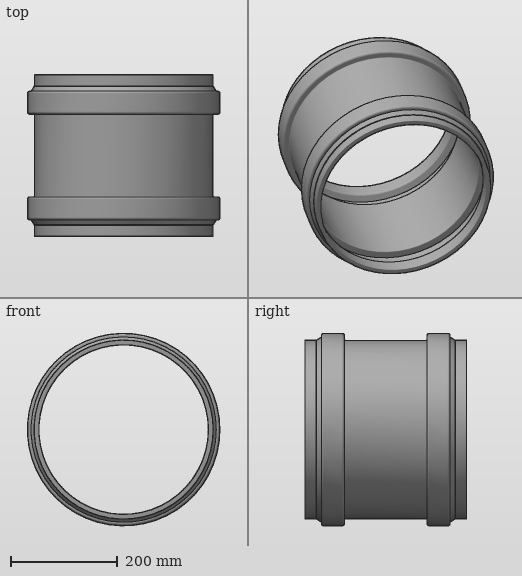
import cadquery as cq

length = 303.0
half_length = length / 2
wall = 8.8

socket_outer_radius = 335.1 / 2
socket_bore_radius = socket_outer_radius - wall
barrel_outer_radius = 334.7 / 2
barrel_bore_radius = barrel_outer_radius - wall
bead_outer_radius = 360.8 / 2
groove_radius = bead_outer_radius - wall
cone_outer_radius = 347.0 / 2

cone_start = 21.5
bead_start = 30.7
bead_end = 74.3
groove_cone_start = 30.7
groove_start = 36.0
groove_end = 65.2

bead_round = 4.5
bead_root_round = 1.5
cone_root_round = 2.0
groove_entry_round = 4.0
groove_exit_round = 2.0
end_round = 1.0

pick_margin = 0.05


def mirrored(points):
    """The points reflected about Y = 0, in reverse order so the outline carries on."""
    return [(radius, -y) for radius, y in reversed(points)]


def make_shell():
    """Revolve the sharp-cornered wall section around the Y axis."""
    outer_half = [
        (socket_outer_radius, half_length),
        (socket_outer_radius, half_length - cone_start),
        (cone_outer_radius, half_length - bead_start),
        (bead_outer_radius, half_length - bead_start),
        (bead_outer_radius, half_length - bead_end),
        (barrel_outer_radius, half_length - bead_end),
    ]
    bore_half = [
        (socket_bore_radius, half_length),
        (socket_bore_radius, half_length - groove_cone_start),
        (groove_radius, half_length - groove_start),
        (groove_radius, half_length - groove_end),
        (barrel_bore_radius, half_length - groove_end),
    ]
    outer = outer_half + mirrored(outer_half)
    bore = bore_half + mirrored(bore_half)
    outline = outer + list(reversed(bore))
    return cq.Workplane("XY").polyline(outline).close().revolve(360, (0, 0, 0), (0, 1, 0))


def round_rings(body, radius, distance, rounding):
    """Round the circular edge of the given radius near both ends of the part."""

    def is_ring(edge):
        return edge.geomType() == "CIRCLE" and abs(edge.radius() - radius) < pick_margin

    reach = radius + pick_margin
    for side in (1, -1):
        y = side * (half_length - distance)
        around_ring = cq.selectors.BoxSelector(
            (-reach, y - pick_margin, -reach),
            (reach, y + pick_margin, reach),
            boundingbox=True,
        )
        body = body.edges(around_ring).filter(is_ring).fillet(rounding)
    return body


rounded_corners = [
    (bead_outer_radius, bead_start, bead_round),
    (bead_outer_radius, bead_end, bead_round),
    (barrel_outer_radius, bead_end, bead_root_round),
    (socket_outer_radius, cone_start, cone_root_round),
    (socket_bore_radius, groove_cone_start, groove_entry_round),
    (barrel_bore_radius, groove_end, groove_exit_round),
    (socket_outer_radius, 0, end_round),
    (socket_bore_radius, 0, end_round),
]

coupling = make_shell()
for corner_radius, corner_distance, corner_round in rounded_corners:
    coupling = round_rings(coupling, corner_radius, corner_distance, corner_round)

result = coupling.solids()